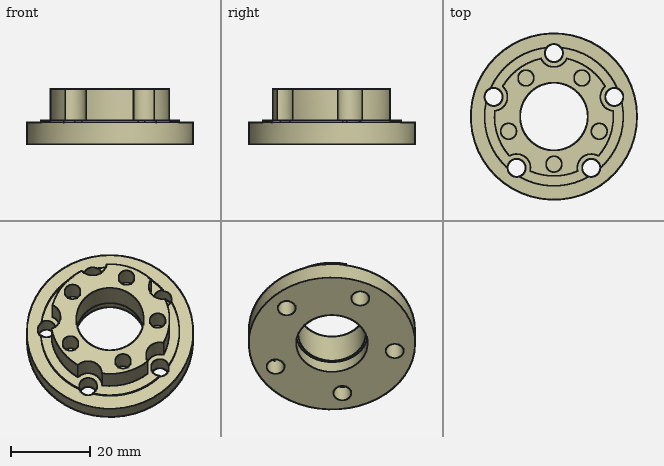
import cadquery as cq

flange_diameter = 42.0
flange_height = 5.5
lip_diameter = 35.0
lip_height = 0.5
boss_diameter = 30.0
total_height = 14.0

bore_diameter = 17.0
counterbore_diameter = 18.0
counterbore_depth = 4.0

station_count = 5
bolt_circle_radius = 16.0
bolt_hole_diameter = 4.5
scallop_diameter = 7.0
first_bolt_angle = 90

pin_circle_radius = 12.0
pin_hole_diameter = 4.0
pin_hole_depth = 8.0
first_pin_angle = -90

shoulder_height = flange_height + lip_height


def disc(diameter, bottom, top):
    """Cylinder on the Z axis between two heights."""
    return cq.Workplane("XY").workplane(offset=bottom).circle(diameter / 2).extrude(top - bottom)


def ring_of_cylinders(circle_radius, first_angle, diameter, bottom, top):
    """Equally spaced vertical cylinders around the Z axis."""
    return (
        cq.Workplane("XY")
        .workplane(offset=bottom)
        .polarArray(circle_radius, first_angle, 360, station_count)
        .circle(diameter / 2)
        .extrude(top - bottom)
    )


scallops = ring_of_cylinders(
    bolt_circle_radius, first_bolt_angle, scallop_diameter, shoulder_height, total_height
)
boss = disc(boss_diameter, shoulder_height, total_height).cut(scallops)
flange = disc(flange_diameter, 0, flange_height)
lip = disc(lip_diameter, flange_height, shoulder_height)
body = flange.union(lip).union(boss)

bore = disc(bore_diameter, 0, total_height)
counterbore = disc(counterbore_diameter, 0, counterbore_depth)
bolt_holes = ring_of_cylinders(
    bolt_circle_radius, first_bolt_angle, bolt_hole_diameter, 0, shoulder_height
)
pin_holes = ring_of_cylinders(
    pin_circle_radius, first_pin_angle, pin_hole_diameter, total_height - pin_hole_depth, total_height
)

result = body.cut(bore).cut(counterbore).cut(bolt_holes).cut(pin_holes)